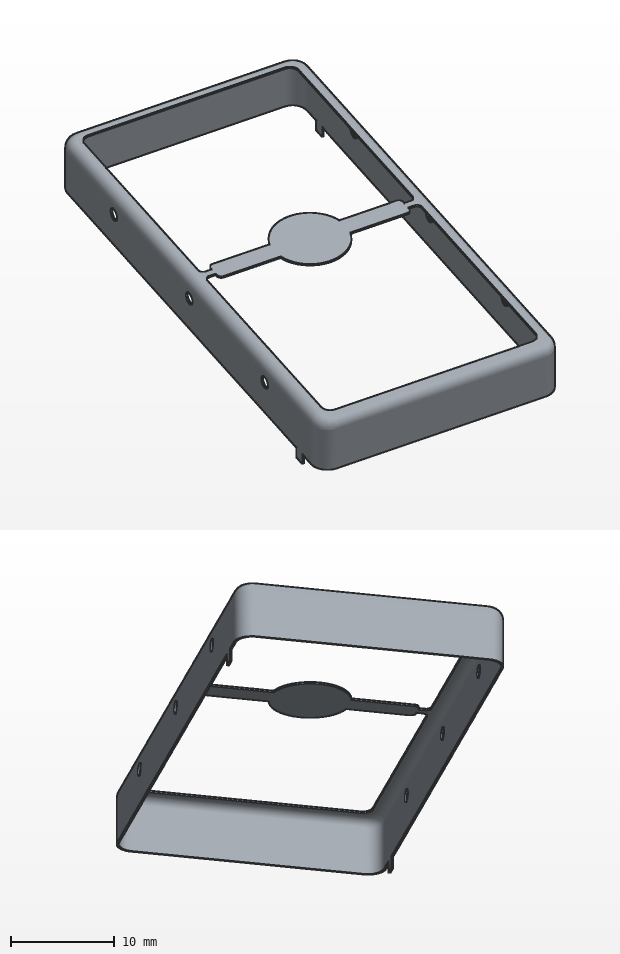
import cadquery as cq

length = 52.0
width = 26.7
frame_height = 6.0
sheet = 0.2
corner_radius = 1.8
bend_radius = 1.1

rim_width = 1.5
opening_radius = 1.0

pad_diameter = 8.0
arm_width = 2.2
neck_width = 0.8
neck_length = 1.2
shoulder_radius = 0.5
neck_root_radius = 0.5

hole_diameter = 1.3
hole_spacing = 15.0
hole_depth_below_top = 2.3
tab_offset = 21.85
tab_width = 1.2
tab_length = 1.2

opening_length = length - 2 * rim_width
opening_width = width - 2 * rim_width


def rounded_block(inset):
    """Block with rounded uprights and top edge, inset from the outer skin on the sides and top."""
    return (
        cq.Workplane("XY")
        .rect(length - 2 * inset, width - 2 * inset)
        .extrude(frame_height - inset)
        .edges("|Z")
        .fillet(corner_radius - inset)
        .faces(">Z")
        .edges()
        .fillet(bend_radius - inset)
    )


def top_plate(size_x, size_y):
    """Rectangular sheet centred on the frame and flush with its top."""
    return cq.Workplane("XY").box(size_x, size_y, sheet).translate((0, 0, frame_height - sheet / 2))


def opening_cutter():
    """The two windows left in the top face on either side of the bridge."""
    arm_reach = opening_width - 2 * neck_length
    arm = top_plate(arm_width, arm_reach).edges("|Z").fillet(shoulder_radius)
    neck = top_plate(neck_width, opening_width)
    pad = (
        cq.Workplane("XY")
        .workplane(offset=frame_height - sheet)
        .circle(pad_diameter / 2)
        .extrude(sheet)
    )
    windows = top_plate(opening_length, opening_width).edges("|Z").fillet(opening_radius)
    windows = windows.cut(neck)
    for side in (-1, 1):
        root = cq.selectors.BoxSelector(
            (-neck_width, side * opening_width / 2 - sheet, 0),
            (neck_width, side * opening_width / 2 + sheet, frame_height + sheet),
        )
        windows = windows.edges("|Z").edges(root).fillet(neck_root_radius)
    return windows.cut(arm).cut(pad)


def side_holes():
    """Three holes passing through both long walls."""
    return (
        cq.Workplane("XZ")
        .pushPoints([(i * hole_spacing, frame_height - hole_depth_below_top) for i in (-1, 0, 1)])
        .circle(hole_diameter / 2)
        .extrude(width, both=True)
    )


def tab(side_x, side_y):
    """Locating tab continuing a long wall below its lower edge."""
    tab_y = side_y * (width - sheet) / 2
    return (
        cq.Workplane("XY")
        .center(side_x * tab_offset, tab_y)
        .rect(tab_width, sheet)
        .extrude(-tab_length)
    )


result = rounded_block(0).cut(rounded_block(sheet))
result = result.cut(opening_cutter()).cut(side_holes())
for side in (-1, 1):
    result = result.union(tab(-side, side))